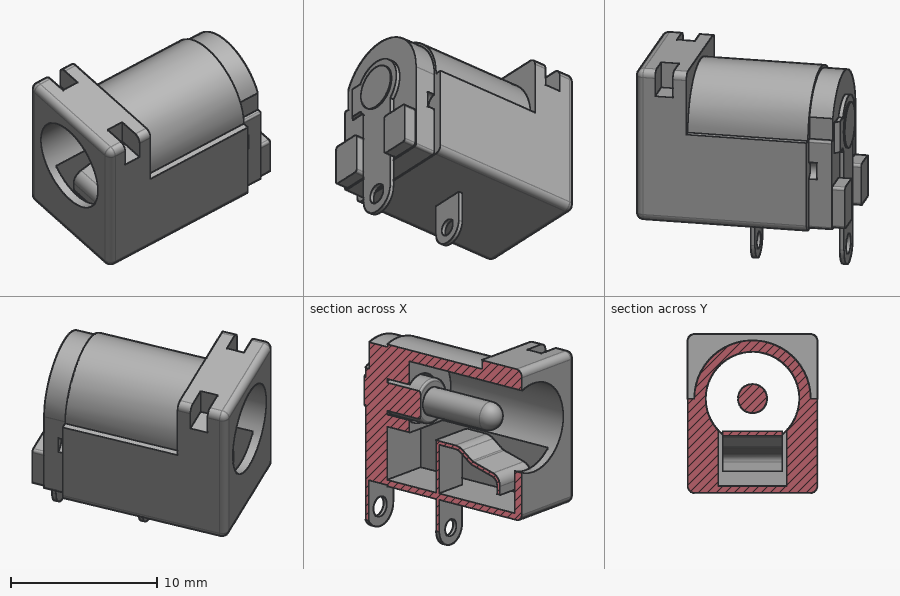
import cadquery as cq
import math


width = 8.9
half_width = width / 2
top_z = 4.42
bottom_z = -6.47
edge_radius = 0.51
flange_length = 3.57
housing_length = 11.98
barrel_radius = 3.99

notch_start_y = 1.38
notch_end_y = 2.62
notch_inner_x = 2.5
notch_floor_z = 2.61

bore_radius = 3.19
bore_depth = 10
pin_hole_radius = 1.75
ring_length = 0.65
chamber_half_width = 2.33
chamber_top_z = -2.18
chamber_floor_z = -5.97

cap_end_y = 13.6
cap_radius = 3.8
cap_bottom_z = -6.38
cap_edge_radius = 0.2
groove_radius = 0.6
groove_length = 0.58
groove_z = -2.2
step_inner_x = 3.47
step_edge_radius = 0.15

foot_inner_x = 1.46
foot_outer_x = 3.68
foot_bottom_z = -6.28
foot_top_z = -3.29
foot_end_y = 14.5

sheet = 0.3
tip_z = -9.98
rear_tab_half_width = 1.42
rear_hole_radius = 0.71
rear_head_radius = 2.09
front_tab_half_width = 1.22
front_hole_radius = 0.6
front_tab_y = 7.35
rear_gap = 0.03
rear_tab_y = cap_end_y + rear_gap
arm_bend_x = 2.62
arm_half_height = 1.1

pin_radius = 1.0
pin_tip_y = 3.0
collar_radius = 1.6
collar_edge_radius = 0.17
collar_reach = 1.0
rivet_radius = 1.58
rivet_end_y = 14.04

spring_half_width = 2.05
spring_front_y = 1.95
spring_lip_length = 0.65
spring_lip_radius = 0.84
spring_slope = 14
spring_slope_rise = 0.44
spring_kink_radius = 0.38
spring_ramp_slope = 35
spring_ramp_rise = 0.6
spring_crest_radius = 1.12
spring_crest_gap = 0.03
spring_crest_z = chamber_top_z - spring_crest_gap


def box(x0, x1, y0, y1, z0, z1):
    """Box given by its limits along each axis."""
    return cq.Workplane("XY").box(x1 - x0, y1 - y0, z1 - z0, centered=False).translate((x0, y0, z0))


def rod(radius, y0, y1, x=0, z=0):
    """Cylinder along Y."""
    return cq.Workplane("XZ", origin=(x, y0, z)).circle(radius).extrude(y0 - y1)


def make_housing():
    block = box(-half_width, half_width, 0, housing_length, bottom_z, top_z)
    block = block.edges("|Y or <Y").fillet(edge_radius)

    upper = box(-half_width, half_width, flange_length, housing_length, 0, top_z)
    block = block.cut(upper).union(rod(barrel_radius, flange_length, housing_length))

    for x0, x1 in ((-half_width, -notch_inner_x), (notch_inner_x, half_width)):
        block = block.cut(box(x0, x1, notch_start_y, notch_end_y, notch_floor_z, top_z))
    return block


def make_bore_and_chamber():
    bore = rod(bore_radius, 0, bore_depth)
    pin_hole = rod(pin_hole_radius, bore_depth, housing_length)
    chamber = box(-chamber_half_width, chamber_half_width, ring_length, housing_length,
                  chamber_floor_z, chamber_top_z)
    return bore.union(pin_hole).union(chamber)


def make_cap():
    lower = box(-cap_radius, cap_radius, housing_length, cap_end_y, cap_bottom_z, 0)
    lower = lower.edges("|Y and <Z").fillet(cap_edge_radius)
    cap = lower.union(rod(cap_radius, housing_length, cap_end_y))
    for x in (-cap_radius, cap_radius):
        cap = cap.cut(rod(groove_radius, housing_length, housing_length + groove_length, x, groove_z))

    cap = cap.cut(box(step_inner_x, cap_radius, housing_length, cap_end_y, 0, cap_radius))
    step_edge = cq.selectors.NearestToPointSelector((cap_radius, (housing_length + cap_end_y) / 2, 0))
    return cap.edges(step_edge).fillet(step_edge_radius)


def make_foot(x0, x1):
    foot = box(x0, x1, cap_end_y, foot_end_y, foot_bottom_z, foot_top_z)
    return foot.edges("|Y").fillet(cap_edge_radius)


def make_tab(half_width_x, hole_radius, y, top):
    """Upright sheet tab with a round lower end and a solder hole concentric with it."""
    centre_z = tip_z + half_width_x
    tab = box(-half_width_x, half_width_x, y, y + sheet, centre_z, top)
    tab = tab.union(rod(half_width_x, y, y + sheet, z=centre_z))
    return tab.cut(rod(hole_radius, y, y + sheet, z=centre_z))


def make_rear_terminal():
    tab = make_tab(rear_tab_half_width, rear_hole_radius, rear_tab_y, 0)
    head = rod(rear_head_radius, rear_tab_y, rear_tab_y + sheet)

    arm = (
        cq.Workplane("XY", origin=(0, 0, -arm_half_height))
        .moveTo(0, rear_tab_y)
        .lineTo(arm_bend_x, rear_tab_y)
        .lineTo(arm_bend_x + rear_gap, cap_end_y)
        .lineTo(arm_bend_x + rear_gap + sheet, cap_end_y)
        .lineTo(arm_bend_x, rear_tab_y + sheet)
        .lineTo(0, rear_tab_y + sheet)
        .close()
        .extrude(2 * arm_half_height)
    )
    return tab.union(head).union(arm)


def make_pin():
    tip_centre_y = pin_tip_y + pin_radius
    shaft = rod(pin_radius, tip_centre_y, housing_length)
    tip = cq.Workplane("XY").sphere(pin_radius).translate((0, tip_centre_y, 0))
    collar = rod(collar_radius, bore_depth - collar_reach, housing_length)
    collar = collar.faces("<Y").edges().fillet(collar_edge_radius)
    rivet = rod(rivet_radius, cap_end_y, rivet_end_y)
    return collar.union(shaft).union(tip).union(rivet)


def advance(point, angle, distance):
    """Point moved by a distance in the direction of an angle in degrees."""
    turn = math.radians(angle)
    return (point[0] + distance * math.cos(turn), point[1] + distance * math.sin(turn))


def bend(point, start_angle, end_angle, radius):
    """Middle and end point of an arc that leaves a point along one heading and ends along another."""
    side = math.copysign(90, end_angle - start_angle)
    centre = advance(point, start_angle + side, radius)
    middle = advance(centre, (start_angle + end_angle) / 2 - side, radius)
    return middle, advance(centre, end_angle - side, radius)


def make_spring():
    """Sheet strip rising from a bent front lip, over a crest, to the head of the front terminal."""
    lip_top = (spring_front_y, 0)
    lip_mid, slope_start = bend(lip_top, 90, spring_slope, spring_lip_radius)
    slope_length = spring_slope_rise / math.sin(math.radians(spring_slope))
    slope_end = advance(slope_start, spring_slope, slope_length)
    kink_mid, ramp_start = bend(slope_end, spring_slope, spring_ramp_slope, spring_kink_radius)
    ramp_length = spring_ramp_rise / math.sin(math.radians(spring_ramp_slope))
    ramp_end = advance(ramp_start, spring_ramp_slope, ramp_length)
    crest_mid, crest = bend(ramp_end, spring_ramp_slope, 0, spring_crest_radius)

    under_lip_top = advance(lip_top, 0, sheet)
    under_lip_mid, under_slope_start = bend(under_lip_top, 90, spring_slope, spring_lip_radius - sheet)
    under_slope_end = advance(slope_end, spring_slope - 90, sheet)
    under_kink_mid, under_ramp_start = bend(
        under_slope_end, spring_slope, spring_ramp_slope, spring_kink_radius + sheet
    )
    under_ramp_end = advance(ramp_end, spring_ramp_slope - 90, sheet)
    under_crest_mid, under_crest = bend(
        under_ramp_end, spring_ramp_slope, 0, spring_crest_radius - sheet
    )

    end_y = front_tab_y + sheet
    strip = (
        cq.Workplane("YZ", origin=(-spring_half_width, 0, 0))
        .moveTo(spring_front_y, -spring_lip_length)
        .lineTo(*lip_top)
        .threePointArc(lip_mid, slope_start)
        .lineTo(*slope_end)
        .threePointArc(kink_mid, ramp_start)
        .lineTo(*ramp_end)
        .threePointArc(crest_mid, crest)
        .lineTo(end_y, crest[1])
        .lineTo(end_y, under_crest[1])
        .lineTo(*under_crest)
        .threePointArc(under_crest_mid, under_ramp_end)
        .lineTo(*under_ramp_start)
        .threePointArc(under_kink_mid, under_slope_end)
        .lineTo(*under_slope_start)
        .threePointArc(under_lip_mid, under_lip_top)
        .lineTo(spring_front_y + sheet, -spring_lip_length)
        .close()
        .extrude(2 * spring_half_width)
    )
    return strip.translate((0, 0, spring_crest_z - crest[1]))


result = (
    make_housing()
    .cut(make_bore_and_chamber())
    .union(make_cap())
    .union(make_foot(-foot_outer_x, -foot_inner_x))
    .union(make_foot(foot_inner_x, foot_outer_x))
    .union(make_rear_terminal())
    .union(make_tab(front_tab_half_width, front_hole_radius, front_tab_y, spring_crest_z))
    .union(make_spring())
    .union(make_pin())
)